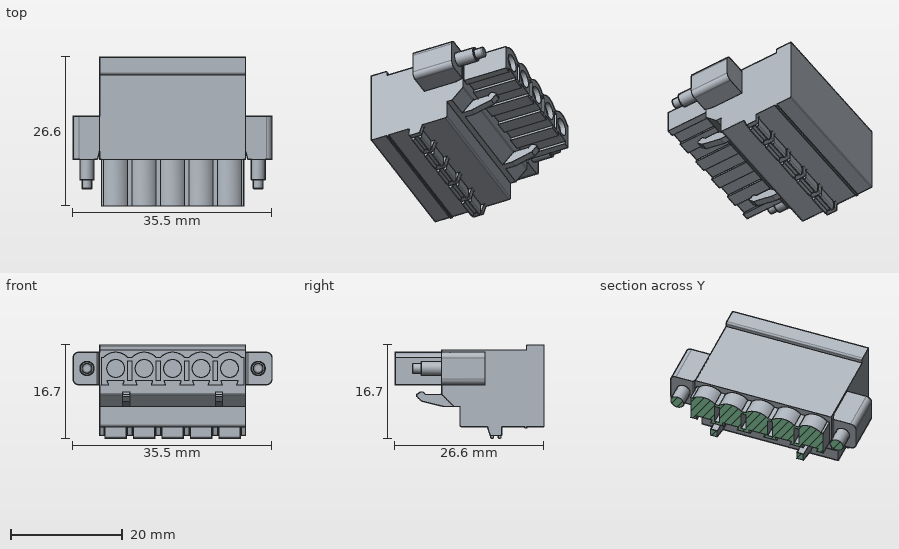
import cadquery as cq


pole_count = 5
pitch = 5.1
pole_positions = [(i - (pole_count - 1) / 2) * pitch for i in range(pole_count)]
gap_positions = [x + pitch / 2 for x in pole_positions[:-1]]

housing_width = 26.1
housing_half = housing_width / 2
housing_depth = 18.28
deck_height = 13.73
ridge_height = 14.65
ridge_depth = 3.15
step_height = 3.6
lower_front = 3.25
slope_top = 5.8
slope_run = slope_top - step_height
edge_radius = 0.32
rear_edge_radius = 0.15

rib_rear = 15.22
rib_width = 0.43
rib_depth = 0.25
rib_chamfer = 0.1

axis_height = 10.42
socket_reach = 8.32
socket_width = 25.45
socket_top = 12.4
socket_bottom = 7.5
dome_radius = 2.9
bore_radius = 1.6
bore_depth = 1.0
key_depth = 0.75
key_half_bottom = 1.28
key_half_top = 1.53
slot_width = 0.82
slot_bottom = socket_bottom + key_depth
slot_top = 11.77

overall_width = 35.55
flange_depth = 7.7
flange_height = 2 * (axis_height - socket_bottom)
flange_radius = 1.03
relief_gap = 0.35
relief_length = 1.45
relief_edge_radius = 0.25

screw_offset = 15.3
shank_radius = 1.28
shank_reach = 3.7
shank_chamfer = 0.1
tip_radius = 0.9
tip_reach = 5.25
tip_fillet = 0.2

latch_offset = 8.3
latch_width = 1.28
latch_root_bevel = 0.18
latch_arm_start = 0.4
latch_hook_height = 6.25
latch_hook_start = -2.9
latch_hook_top = (-3.38, -3.75)
latch_nose = -4.48
latch_nose_bottom = 5.45
latch_knee = (-3.55, 4.55)

foot_width = 0.92
end_foot_width = 0.82
foot_rear = 10.75
foot_front_top = 8.15
foot_front_bottom = 8.65
foot_depth = 1.55
foot_root_fillet = 0.2
foot_root_plate = 0.55
foot_edge_fillet = 0.15
block_width = 3.85
block_rear = 10.65
block_front = 8.7
block_depth = 2.05
bead_width = 0.57
bead_radius = 0.25


def extrude_side_profile(points, width, x_center):
    """Extrude a (Y, Z) outline along X, centred on x_center."""
    start = x_center - width / 2
    return cq.Workplane("YZ", origin=(start, 0, 0)).polyline(points).close().extrude(width)


def box_between(x_range, y_range, z_range):
    """Box given by its limits along the three axes."""
    size = [high - low for low, high in (x_range, y_range, z_range)]
    corner = (x_range[0], y_range[0], z_range[0])
    return cq.Workplane("XY", origin=corner).box(*size, centered=False)


def edges_along_x(y, z):
    """Selector for the edges along X through (y, z)."""
    reach = 0.018
    return cq.selectors.BoxSelector(
        (-overall_width, y - reach, z - reach), (overall_width, y + reach, z + reach)
    )


def cylinder_forward(x, y_start, radius, length):
    """Cylinder on the socket axis height, running from y_start toward -Y."""
    plane = cq.Workplane("XZ", origin=(x, y_start, axis_height))
    return plane.circle(radius).extrude(length)


def make_housing():
    outline = [
        (housing_depth, 0),
        (housing_depth, ridge_height),
        (housing_depth - ridge_depth, ridge_height),
        (housing_depth - ridge_depth, deck_height),
        (0, deck_height),
        (0, slope_top),
        (slope_run, step_height),
        (lower_front, step_height),
        (lower_front, 0),
    ]
    housing = extrude_side_profile(outline, housing_width, 0)
    rounded_corners = [
        (housing_depth - ridge_depth, ridge_height),
        (0, slope_top),
        (lower_front, 0),
    ]
    for y, z in rounded_corners:
        housing = housing.edges(edges_along_x(y, z)).fillet(edge_radius)
    return housing.edges(edges_along_x(housing_depth, 0)).fillet(rear_edge_radius)


def make_rib():
    outline = [
        (rib_rear, 0),
        (rib_rear, -rib_depth),
        (rib_rear - rib_width + rib_chamfer, -rib_depth),
        (rib_rear - rib_width, -rib_depth + rib_chamfer),
        (rib_rear - rib_width, 0),
    ]
    return extrude_side_profile(outline, housing_width, 0)


def make_socket_block():
    half = socket_width / 2
    block = box_between((-half, half), (-socket_reach, 0), (socket_bottom, socket_top))
    dome_top = axis_height + dome_radius
    envelope = box_between((-half, half), (-socket_reach, 0), (axis_height, dome_top))
    for x in pole_positions:
        dome = cylinder_forward(x, 0, dome_radius, socket_reach)
        block = block.union(dome.intersect(envelope))
    for x in pole_positions:
        bore = cylinder_forward(x, bore_depth - socket_reach, bore_radius, bore_depth)
        keyway = (
            cq.Workplane("XZ", origin=(x, 0, socket_bottom))
            .polyline([
                (-key_half_bottom, 0),
                (-key_half_top, key_depth),
                (key_half_top, key_depth),
                (key_half_bottom, 0),
            ])
            .close()
            .extrude(socket_reach)
        )
        block = block.cut(bore).cut(keyway)
    for x in gap_positions:
        slot = box_between(
            (x - slot_width / 2, x + slot_width / 2), (-socket_reach, 0), (slot_bottom, slot_top)
        )
        block = block.cut(slot)
    return block


def make_right_flange():
    outer = overall_width / 2
    flange = (
        cq.Workplane("XY", origin=(0, 0, socket_bottom))
        .polyline([
            (housing_half, relief_length),
            (housing_half, flange_depth),
            (outer, flange_depth),
            (outer, 0),
            (housing_half + relief_gap, 0),
        ])
        .close()
        .extrude(flange_height)
    )
    flange = flange.edges("|Y").edges(">X").fillet(flange_radius)
    relief_edge = cq.selectors.NearestToPointSelector((housing_half + relief_gap, 0, axis_height))
    flange = flange.edges("|Z").edges(relief_edge).fillet(relief_edge_radius)
    shank = cylinder_forward(screw_offset, 0, shank_radius, shank_reach)
    shank = shank.faces("<Y").chamfer(shank_chamfer)
    tip = cylinder_forward(screw_offset, 0, tip_radius, tip_reach)
    tip = tip.faces("<Y").edges().fillet(tip_fillet)
    return flange.union(shank).union(tip)


def make_latch(x):
    outline = [
        (slope_run, step_height),
        (slope_run / 2, slope_top + latch_root_bevel),
        (0, slope_top + latch_root_bevel),
        (-latch_root_bevel, slope_top),
        (latch_hook_start, slope_top),
        (latch_hook_top[0], latch_hook_height),
        (latch_hook_top[1], latch_hook_height),
        (latch_nose, slope_top),
        (latch_nose, latch_nose_bottom),
        latch_knee,
        (latch_arm_start, step_height),
    ]
    return extrude_side_profile(outline, latch_width, x)


def make_foot(x, width):
    outline = [
        (foot_rear + foot_root_plate, foot_root_plate),
        (foot_rear + foot_root_plate, 0),
        (foot_rear, 0),
        (foot_rear, -foot_depth),
        (foot_front_bottom, -foot_depth),
        (foot_front_top, 0),
        (foot_front_top - foot_root_plate, 0),
        (foot_front_top - foot_root_plate, foot_root_plate),
    ]
    foot = extrude_side_profile(outline, width, x)
    for y in (foot_rear, foot_front_top):
        foot = foot.edges(edges_along_x(y, 0)).fillet(foot_root_fillet)
    return foot.faces("<Z").edges("|X").fillet(foot_edge_fillet)


def make_contact_block(x):
    x_range = (x - block_width / 2, x + block_width / 2)
    block = box_between(x_range, (block_front, block_rear), (-foot_depth, 0))
    for y in (block_front, block_rear - bead_width):
        bead = box_between(x_range, (y, y + bead_width), (-block_depth, 0))
        block = block.union(bead.faces("<Z").edges("|X").fillet(bead_radius))
    return block


result = make_housing().union(make_rib()).union(make_socket_block())

right_flange = make_right_flange()
result = result.union(right_flange).union(right_flange.mirror("YZ"))

for side in (-1, 1):
    result = result.union(make_latch(side * latch_offset))
    result = result.union(make_foot(side * (housing_half - end_foot_width / 2), end_foot_width))

for x in gap_positions:
    result = result.union(make_foot(x, foot_width))

for x in pole_positions:
    result = result.union(make_contact_block(x))